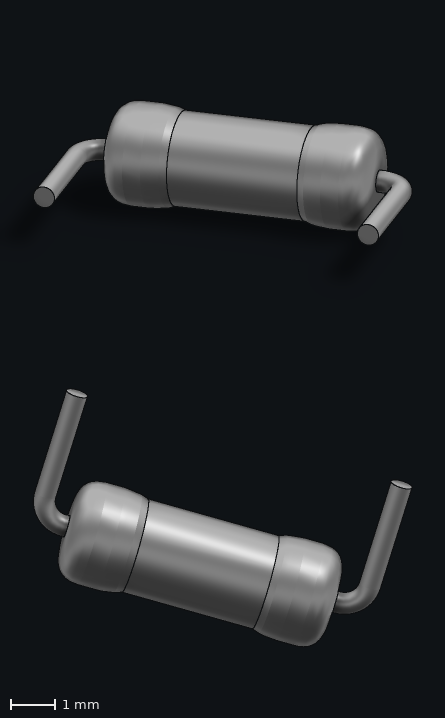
import cadquery as cq
import math

overall_length = 8.12
overall_depth = 4.3

body_length = 6.26
cap_radius = 1.2
waist_radius = 1.1
end_face_radius = 0.54
end_rounding_length = 0.59
cap_cylinder_length = 0.42
shoulder_arc_length = 0.415
shoulder_arc_drop = 0.05
shoulder_cone_length = 0.17

lead_diameter = 0.5
bend_radius = 0.59
lead_embedment = 0.41

body_end = body_length / 2
lead_x = (overall_length - lead_diameter) / 2
lead_tip_y = cap_radius - overall_depth


def make_body():
    """The body: a plain waist between two rounded end caps."""
    cap_outer_x = body_end - end_rounding_length
    cap_inner_x = cap_outer_x - cap_cylinder_length
    shoulder_x = cap_inner_x - shoulder_arc_length
    waist_end_x = shoulder_x - shoulder_cone_length
    shoulder_radius = cap_radius - shoulder_arc_drop

    arc_radius = (shoulder_arc_length**2 + shoulder_arc_drop**2) / (2 * shoulder_arc_drop)
    half_length = shoulder_arc_length / 2
    shoulder_mid_x = cap_inner_x - half_length
    shoulder_mid_radius = cap_radius - arc_radius + math.sqrt(arc_radius**2 - half_length**2)

    profile = (
        cq.Workplane("XY")
        .moveTo(body_end, 0)
        .lineTo(body_end, end_face_radius)
        .spline(
            [(cap_outer_x, cap_radius)],
            tangents=[(0, 1), (-1, 0)],
            includeCurrent=True,
        )
        .lineTo(cap_inner_x, cap_radius)
        .threePointArc((shoulder_mid_x, shoulder_mid_radius), (shoulder_x, shoulder_radius))
        .lineTo(waist_end_x, waist_radius)
        .lineTo(-waist_end_x, waist_radius)
        .lineTo(-shoulder_x, shoulder_radius)
        .threePointArc((-shoulder_mid_x, shoulder_mid_radius), (-cap_inner_x, cap_radius))
        .lineTo(-cap_outer_x, cap_radius)
        .spline(
            [(-body_end, end_face_radius)],
            tangents=[(-1, 0), (0, -1)],
            includeCurrent=True,
        )
        .lineTo(-body_end, 0)
        .close()
    )
    return profile.revolve(360, (0, 0, 0), (1, 0, 0))


def make_lead():
    """The +X lead: out of the end face, round the bend, then straight along -Y."""
    start_x = body_end - lead_embedment
    path = (
        cq.Workplane("XY")
        .moveTo(start_x, 0)
        .lineTo(lead_x - bend_radius, 0)
        .tangentArcPoint((lead_x, -bend_radius), relative=False)
        .lineTo(lead_x, lead_tip_y)
    )
    section = cq.Workplane("YZ", origin=(start_x, 0, 0)).circle(lead_diameter / 2)
    return section.sweep(path)


lead = make_lead()
result = make_body().union(lead).union(lead.mirror("YZ"))